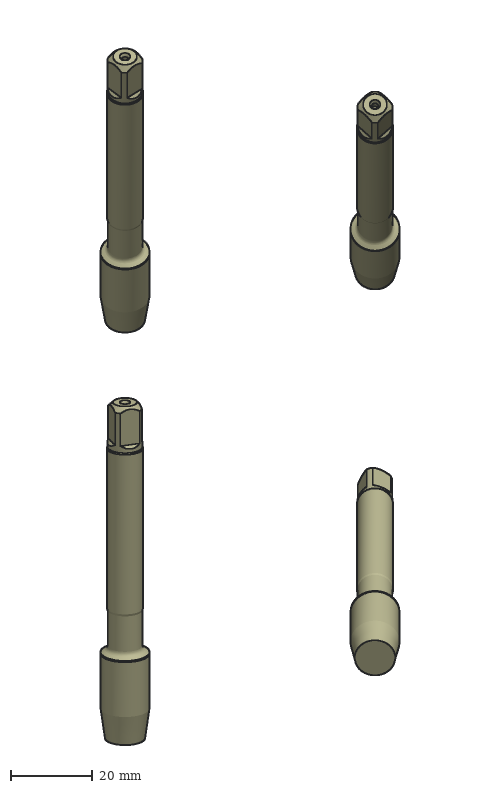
import cadquery as cq
import math

overall_length = 89.0
lead_height = 7.9
thread_top = 22.4
collar_top = 22.8
neck_top = 33.9
shank_bottom = 34.5
shank_top = 76.8
drive_shoulder = 77.2
square_bottom = 79.0

tip_diameter = 10.0
thread_diameter = 12.15
neck_diameter = 8.64
shank_diameter = 9.0
drive_diameter = 8.7
end_diameter = 5.9

shoulder_slope = math.radians(30)
neck_fillet_radius = 1.2

square_width = 7.1
centre_diameter = 1.6
centre_mouth_diameter = 2.6
centre_depth = 2.5
countersink_half_angle = math.radians(30)
point_half_angle = math.radians(60)


def revolve_profile(points):
    """Revolve (diameter, height) points about Z; the first and last lie on the axis."""
    outline = [(diameter / 2, height) for diameter, height in points]
    return cq.Workplane("XZ").polyline(outline).close().revolve(360, (0, 0), (0, 1))


def make_thread_section():
    """Cutting end: a tapered lead below a plain cylinder at thread size."""
    return revolve_profile([
        (0, 0),
        (tip_diameter, 0),
        (thread_diameter, lead_height),
        (thread_diameter, thread_top),
        (0, thread_top),
    ])


def make_flat_cutter():
    """Block that leaves one flat of the drive, with a 45 degree run-out at its foot."""
    flat = square_width / 2
    outer = shank_diameter / 2
    outline = [
        (flat, square_bottom),
        (outer, square_bottom - (outer - flat)),
        (outer, overall_length),
        (flat, overall_length),
    ]
    return cq.Workplane("XZ").polyline(outline).close().extrude(shank_diameter / 2, both=True)


def make_centre_hole():
    """Centre-drilled hole: 60 degree countersink, pilot and conical bottom."""
    countersink_depth = (centre_mouth_diameter - centre_diameter) / 2 / math.tan(countersink_half_angle)
    point_depth = centre_diameter / 2 / math.tan(point_half_angle)
    return revolve_profile([
        (0, overall_length),
        (centre_mouth_diameter, overall_length),
        (centre_diameter, overall_length - countersink_depth),
        (centre_diameter, overall_length - centre_depth),
        (0, overall_length - centre_depth - point_depth),
    ])


def make_shank():
    """Collar, filleted shoulder, neck and shank, ending in the square drive."""
    end_chamfer = (drive_diameter - end_diameter) / 2
    shoulder_height = (thread_diameter - neck_diameter) / 2 * math.tan(shoulder_slope)
    neck_bottom = collar_top + shoulder_height
    shank = revolve_profile([
        (0, thread_top),
        (thread_diameter, thread_top),
        (thread_diameter, collar_top),
        (neck_diameter, neck_bottom),
        (neck_diameter, neck_top),
        (shank_diameter, shank_bottom),
        (shank_diameter, shank_top),
        (drive_diameter, drive_shoulder),
        (drive_diameter, overall_length - end_chamfer),
        (end_diameter, overall_length),
        (0, overall_length),
    ])
    neck_root = cq.selectors.NearestToPointSelector((0, 0, neck_bottom))
    shank = shank.edges(neck_root).fillet(neck_fillet_radius)
    flat_cutter = make_flat_cutter()
    for angle in (0, 90, 180, 270):
        shank = shank.cut(flat_cutter.rotate((0, 0, 0), (0, 0, 1), angle))
    return shank.cut(make_centre_hole())


thread_section = make_thread_section()
shank = make_shank()

result = cq.Compound.makeCompound([thread_section.val(), shank.val()])